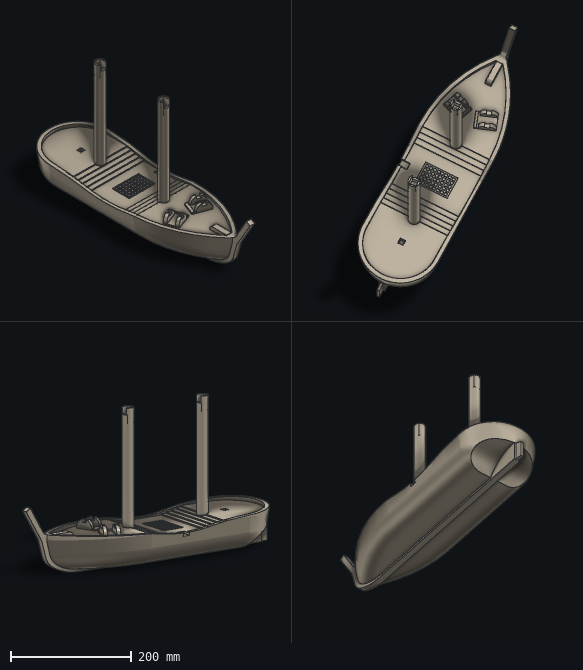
import cadquery as cq
import math


half_beam = 70.5
bottom_z = 4.5
bilge_radius = 39.0
knuckle_z = 36.8
knuckle_half_beam = 66.0
aft_strake_z = 64.5
fore_strake_z = 62.0
hull_top_z = 81.0
stern_centre_x = 80.0
midship_x = 209.2
bow_start_x = 279.0
bow_radius = 255.0
bow_turn = 48.0
run_start_x = 24.5
run_mid = (61.5, 22.0)
run_end_x = 78.5

mast_diameter = 20.0
mast_top_z = 266.0
aft_mast_x = 129.5
fore_mast_x = 280.0
mast_socket = 13.0
mast_socket_depth = 26.0
mast_socket_shift = 0.5
mast_slot_depth = 12.0

sheer_top_z = 71.0
taffrail_z = 70.0
aft_sheer_mid = (71.0, 68.5)
aft_sheer_end = (aft_mast_x, 64.5)
fore_sheer_start = (fore_mast_x, 63.0)
fore_sheer_mid = (367.5, 67.5)
transom_x = 13.0
waist_half_length = 30.5
waist_edge_z = 57.0
waist_low_z = 55.5
rim_width = 8.0
well_end_x = 435.0
waist_deck_z = 53.5
riser = 2.1
tread = mast_diameter / 2
aft_risers = 5
fore_risers = 4
aft_deck_z = waist_deck_z + aft_risers * riser
fore_deck_z = waist_deck_z + fore_risers * riser

trim_z = 147.0
trim_width = 196.0

keel_width = 11.5
keel_root_z = bottom_z + 5
rudder_thickness = 5.0
rudder_aft_z = 31.0
keel_bend_x = 385.0
stem_bilge = [(414.0, 4.5), (433.5, 13.0)]
stem_foot = (452.0, 38.5)
bowsprit_heel = (458.5, 63.0)
bowsprit_tip = (490.0, 116.5)
bowsprit_depth = 10.5
bowsprit_angle = math.radians(60)
bowsprit_fillet = 17.0
beam_start_x = 394.0
beam_top_z = 70.0
beam_end_x = 442.0

tiller_x = 84.5
tiller_hole = 9.5
tiller_hole_depth = 10.0
hatch_length = 39.5
hatch_width = 61.0
hatch_height = 0.5
hatch_pitch = 7.5
hatch_hole = 5.0
hatch_columns = 5
hatch_rows = 4
hatch_bar = 1.0
gangway_width = 12.0
gangway_inner_y = 52.5
gangway_depth = 4.0

carriage_x = 336.0
carriage_y = 26.5
carriage_turn = 20.0
carriage_length = 38.0
carriage_width = 29.5
carriage_base = 2.0
cheek_radius = 15.0
cheek_width = 7.0
trunnion_width = 9.0
trunnion_depth = 6.0
bar_size = 5.0


def side_beam(z):
    """Half beam of the flared topsides at height z."""
    flare = (half_beam - knuckle_half_beam) / (aft_strake_z - knuckle_z)
    return knuckle_half_beam + flare * (z - knuckle_z)


def hull_section(strake_z):
    """Half cross-section of the hull in (distance from centre plane, height)."""
    def bilge_y(z):
        rise = bottom_z + bilge_radius - z
        return math.sqrt(bilge_radius ** 2 - rise ** 2)

    flat_y = knuckle_half_beam - bilge_y(knuckle_z)
    bilge_mid_z = (2 * bottom_z + knuckle_z) / 3
    strake_y = side_beam(strake_z)
    return (
        cq.Workplane("YZ")
        .moveTo(0, bottom_z)
        .lineTo(flat_y, bottom_z)
        .threePointArc((flat_y + bilge_y(bilge_mid_z), bilge_mid_z), (knuckle_half_beam, knuckle_z))
        .lineTo(strake_y, strake_z)
        .lineTo(strake_y, hull_top_z)
        .lineTo(0, hull_top_z)
        .close()
        .val()
    )


def well_section():
    """Half cross-section of the space inside the rim."""
    return (
        cq.Workplane("YZ")
        .moveTo(0, bottom_z)
        .lineTo(half_beam - rim_width, bottom_z)
        .lineTo(half_beam - rim_width, hull_top_z)
        .lineTo(0, hull_top_z)
        .close()
        .val()
    )


def face_at(section, x):
    return cq.Face.makeFromWires(section).translate(cq.Vector(x, 0, 0))


def turned(face, angle, x, y):
    """Revolve a face about the upright line through (x, y)."""
    return cq.Workplane(cq.Solid.revolve(face, angle, cq.Vector(x, y, 0), cq.Vector(x, y, 5)))


def along_outline(aft_section, fore_section):
    """Carry a half section round the stern, along the side and round the bow, on both sides."""
    stern = turned(face_at(aft_section, stern_centre_x), 90, stern_centre_x, 0)
    aft_face = face_at(aft_section, stern_centre_x)
    aft_side = cq.Workplane(cq.Solid.extrudeLinear(aft_face, cq.Vector(midship_x - stern_centre_x, 0, 0)))
    fore_face = face_at(fore_section, midship_x)
    fore_side = cq.Workplane(cq.Solid.extrudeLinear(fore_face, cq.Vector(bow_start_x - midship_x, 0, 0)))

    bow_face = face_at(fore_section, bow_start_x)
    bow = turned(bow_face, -bow_turn, bow_start_x, half_beam - bow_radius)
    port_side = cq.Workplane(origin=(bow_start_x, 0, 0)).box(
        bow_radius, trim_width, trim_z, centered=(False, False, False)
    )
    half = stern.union(aft_side).union(fore_side).union(bow.intersect(port_side))
    return half.union(half.mirror("XZ"))


def side_plate(profile, width):
    """Extrude a closed side profile evenly about the centre plane."""
    return profile.extrude(width / 2, both=True)


def bowsprit_corner():
    """Upper corner at the tip of the bowsprit."""
    x, z = bowsprit_tip
    return (x - bowsprit_depth * math.sin(bowsprit_angle), z + bowsprit_depth * math.cos(bowsprit_angle))


def bowsprit_fillet_points():
    """Start, middle and end of the arc that leads from the rim up into the bowsprit."""
    corner_x, corner_z = bowsprit_corner()
    crotch_x = corner_x - (corner_z - sheer_top_z) / math.tan(bowsprit_angle)
    start_x = crotch_x - bowsprit_fillet * math.tan(bowsprit_angle / 2)

    def arc_point(angle):
        return (
            start_x + bowsprit_fillet * math.sin(angle),
            sheer_top_z + bowsprit_fillet * (1 - math.cos(angle)),
        )

    return [arc_point(angle) for angle in (0, bowsprit_angle / 2, bowsprit_angle)]


def above_sheer():
    """Space above the curved edge of the rim."""
    waist_aft = midship_x - waist_half_length
    waist_fore = midship_x + waist_half_length
    fillet_start, fillet_mid, fillet_end = bowsprit_fillet_points()
    profile = (
        cq.Workplane("XZ")
        .moveTo(0, taffrail_z)
        .lineTo(transom_x, sheer_top_z)
        .threePointArc(aft_sheer_mid, aft_sheer_end)
        .lineTo(waist_aft, waist_edge_z)
        .threePointArc((midship_x, waist_low_z), (waist_fore, waist_edge_z))
        .lineTo(*fore_sheer_start)
        .threePointArc(fore_sheer_mid, fillet_start)
        .threePointArc(fillet_mid, fillet_end)
        .lineTo(fillet_end[0], trim_z)
        .lineTo(0, trim_z)
        .close()
    )
    return side_plate(profile, trim_width)


def above_deck():
    """Space above the aft deck, the steps, the waist and the fore deck."""
    profile = cq.Workplane("XZ").moveTo(0, aft_deck_z)
    for i in range(aft_risers):
        x = aft_mast_x + i * tread
        z = aft_deck_z - i * riser
        profile = profile.lineTo(x, z).lineTo(x, z - riser)
    for i in range(fore_risers):
        x = fore_mast_x - (fore_risers - 1 - i) * tread
        z = waist_deck_z + i * riser
        profile = profile.lineTo(x, z).lineTo(x, z + riser)
    profile = profile.lineTo(well_end_x, fore_deck_z).lineTo(well_end_x, trim_z).lineTo(0, trim_z).close()
    return side_plate(profile, trim_width)


def stern_run():
    """Space under the stern, below the hollow run up to the knuckle."""
    profile = (
        cq.Workplane("XZ")
        .moveTo(0, knuckle_z)
        .lineTo(run_start_x, knuckle_z)
        .threePointArc(run_mid, (run_end_x, bottom_z))
        .lineTo(run_end_x, 0)
        .lineTo(0, 0)
        .close()
    )
    return side_plate(profile, trim_width)


def hull():
    body = along_outline(hull_section(aft_strake_z), hull_section(fore_strake_z))
    well = along_outline(well_section(), well_section()).intersect(above_deck())
    return body.cut(above_sheer()).cut(stern_run()).cut(well)


def keel():
    """Keel, stem and bowsprit as one plate."""
    fillet_start, fillet_mid, fillet_end = bowsprit_fillet_points()
    profile = (
        cq.Workplane("XZ")
        .moveTo(transom_x, 0)
        .lineTo(keel_bend_x, 0)
        .spline(stem_bilge + [stem_foot], tangents=[(1, 0), (0.2, 1)], includeCurrent=True)
        .lineTo(*bowsprit_heel)
        .lineTo(*bowsprit_tip)
        .lineTo(*bowsprit_corner())
        .lineTo(*fillet_end)
        .threePointArc(fillet_mid, fillet_start)
        .lineTo(fillet_start[0], knuckle_z)
        .lineTo(keel_bend_x, keel_root_z)
        .lineTo(run_end_x, keel_root_z)
        .lineTo(run_end_x, knuckle_z)
        .lineTo(transom_x, knuckle_z)
        .close()
    )
    return side_plate(profile, keel_width)


def rudder():
    profile = cq.Workplane("XZ").polyline(
        [(0, 0), (transom_x, 0), (transom_x, knuckle_z), (0, rudder_aft_z)]
    ).close()
    return side_plate(profile, rudder_thickness)


def bow_beam():
    height = beam_top_z - fore_deck_z
    slope = height * math.sqrt(0.5)
    round_mid = (beam_start_x + height - slope, fore_deck_z + slope)
    round_end = (beam_start_x + height, beam_top_z)
    profile = (
        cq.Workplane("XZ")
        .moveTo(beam_start_x, fore_deck_z)
        .threePointArc(round_mid, round_end)
        .lineTo(beam_end_x, beam_top_z)
        .lineTo(beam_end_x, fore_deck_z)
        .close()
    )
    return side_plate(profile, keel_width)


def mast(x):
    radius = mast_diameter / 2
    pole = cq.Workplane().center(x, 0).circle(radius).extrude(mast_top_z - waist_deck_z)
    pole = pole.translate((0, 0, waist_deck_z))
    top = cq.Workplane(origin=(x, 0, mast_top_z))
    socket = top.center(-mast_socket_shift, 0).rect(mast_socket, mast_socket).extrude(-mast_socket_depth)
    slot = top.center(radius, 0).rect(2 * radius, mast_socket).extrude(-mast_slot_depth)
    return pole.cut(socket).cut(slot)


def tiller_socket():
    deck = cq.Workplane(origin=(tiller_x, 0, aft_deck_z))
    return deck.rect(tiller_hole, tiller_hole).extrude(-tiller_hole_depth)


def hatch():
    deck = cq.Workplane(origin=(midship_x, 0, waist_deck_z))
    plate = deck.rect(hatch_length, hatch_width).extrude(hatch_height)
    first_row_y = (hatch_bar + hatch_hole) / 2
    rows_centre_y = first_row_y + (hatch_rows - 1) * hatch_pitch / 2
    for side in (-1, 1):
        plate = plate.cut(
            deck.center(0, side * rows_centre_y)
            .rarray(hatch_pitch, hatch_pitch, hatch_columns, hatch_rows)
            .rect(hatch_hole, hatch_hole)
            .extrude(hatch_height)
        )
    return plate


def gangway():
    """Notch through the port rim and into the waist deck."""
    return cq.Workplane(origin=(midship_x, gangway_inner_y, waist_deck_z - gangway_depth)).box(
        gangway_width, half_beam, hull_top_z, centered=(True, False, False)
    )


def carriage():
    """Port gun carriage, built along +Y with the bar inboard."""
    inner_y = -carriage_length / 2
    outer_y = carriage_length / 2
    base = cq.Workplane().rect(carriage_width, carriage_length).extrude(carriage_base)
    rise = bar_size * math.sqrt(0.5)
    bar = (
        cq.Workplane("YZ")
        .moveTo(inner_y, 0)
        .threePointArc((inner_y + bar_size - rise, rise), (inner_y + bar_size, bar_size))
        .lineTo(inner_y + bar_size, 0)
        .close()
        .extrude(carriage_width / 2, both=True)
    )
    body = base.union(bar)
    cheek_y = outer_y - cheek_radius
    for side in (-1, 1):
        cheek = (
            cq.Workplane("YZ")
            .moveTo(cheek_y - cheek_radius, carriage_base)
            .threePointArc((cheek_y, carriage_base + cheek_radius), (outer_y, carriage_base))
            .close()
            .extrude(cheek_width / 2, both=True)
        )
        trunnion = cq.Workplane(origin=(0, cheek_y, carriage_base + cheek_radius - trunnion_depth)).box(
            cheek_width, trunnion_width, cheek_radius, centered=(True, True, False)
        )
        offset = side * (carriage_width - cheek_width) / 2
        body = body.union(cheek.cut(trunnion).translate((offset, 0, 0)))
    return body.rotate((0, 0, 0), (0, 0, 1), -carriage_turn).translate((carriage_x, carriage_y, fore_deck_z))


port_carriage = carriage()

result = hull().union(keel()).union(rudder()).union(bow_beam())
result = result.union(mast(aft_mast_x)).union(mast(fore_mast_x)).union(hatch())
result = result.union(port_carriage).union(port_carriage.mirror("XZ"))
result = result.cut(tiller_socket()).cut(gangway())